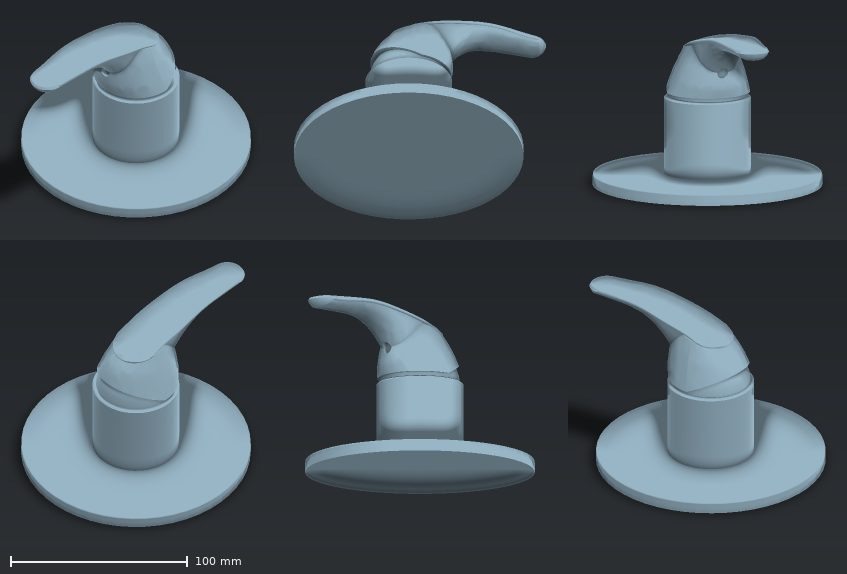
import cadquery as cq
import math

plate_radius = 65.0
plate_thickness = 6.7
plate_edge_round = 1.0
body_radius = 24.6
body_top = 51.0
body_edge_chamfer = 0.7

groove_radius = 21.8
groove_top = 51.5
ball_radius = 22.7
ball_centre_height = 49.8

cap_base_radius = 24.2
cap_base = 53.7
cap_middle = 65.9
cap_middle_half_width = 20.4
cap_middle_back = 20.8
cap_middle_front = -25.2
cap_crown_half_width = 14.5
cap_crown_back = 12.6
cap_crown_front = -19.0
cap_crown_back_height = 77.0
cap_crown_slope = 14.5
back_cut_slope = 24.4

lever_back_radius = 14.2
lever_tip = -81.4
lever_tip_radius = 9.8
lever_tip_centre = lever_tip + lever_tip_radius
outline_clearance = 1.5
outline_height = 2 * cap_base

tip_rim_height = 89.6
tip_rim_drop = 1.5
tip_rim_depth = 2.6
tip_underside = 84.6
tip_underside_flat = 4.4
tip_top_inset = 0.9
tip_top_rise = 1.6
tip_crown = 95.2

edge_round_depth = 0.9
underside_fullness = 0.75
handle_depth_ratio = 4 / 3

lever_sections = [
    (13.2, 14.5, 76.0, 74.1, 73.0, 58.6),
    (0.0, 14.4, 83.8, 81.3, 79.8, 58.6),
    (-17.1, 14.2, 89.0, 87.0, 85.1, 58.6),
    (-29.3, 13.6, 91.8, 89.8, 87.7, 74.1),
    (-41.0, 12.7, 93.1, 91.8, 89.6, 82.6),
    (-52.0, 11.9, 93.5, 92.3, 89.9, 84.6),
    (-71.6, 9.8, 92.3, 91.2, 88.6, 85.0),
    (-77.6, 9.8, 91.5, 90.8, 88.7, 85.2),
    (-82.0, 9.8, 90.4, 89.9, 88.5, 87.1),
]

screw_radius = 3.2
screw_height = 68.4
screw_floor = -22.7


def wall_plate():
    plate = cq.Workplane("XY").circle(plate_radius).extrude(plate_thickness)
    return plate.faces(">Z").edges().fillet(plate_edge_round)


def body():
    sleeve = cq.Workplane("XY").circle(body_radius).extrude(body_top)
    return sleeve.faces(">Z").edges().chamfer(body_edge_chamfer)


def ball_seat():
    ball = cq.Workplane("XY").sphere(ball_radius).translate((0, 0, ball_centre_height))
    above_groove = cq.Workplane("XY", origin=(0, 0, groove_top)).circle(body_radius).extrude(body_radius)
    neck = cq.Workplane("XY").circle(groove_radius).extrude(groove_top)
    return ball.intersect(above_groove).union(neck)


def cap():
    middle_length = cap_middle_back - cap_middle_front
    middle_centre = (cap_middle_back + cap_middle_front) / 2
    crown_length = cap_crown_back - cap_crown_front
    crown_centre = (cap_crown_back + cap_crown_front) / 2
    slope = math.radians(cap_crown_slope)
    crown_height = cap_crown_back_height + crown_length / 2 * math.tan(slope)

    base = cq.Wire.makeCircle(cap_base_radius, cq.Vector(0, 0, cap_base), cq.Vector(0, 0, 1))
    middle = (
        cq.Workplane("XY", origin=(0, middle_centre, cap_middle))
        .ellipse(cap_middle_half_width, middle_length / 2)
        .val()
    )
    crown_plane = cq.Plane((0, crown_centre, crown_height), (1, 0, 0), (0, math.sin(slope), math.cos(slope)))
    crown = (
        cq.Workplane(crown_plane)
        .ellipse(cap_crown_half_width, crown_length / 2 / math.cos(slope))
        .val()
    )
    shell = cq.Workplane(cq.Solid.makeLoft([base, middle, crown]))

    reach = 2 * cap_base_radius
    back_cut = (
        cq.Workplane("YZ")
        .moveTo(0, cap_base)
        .lineTo(reach, cap_base)
        .lineTo(reach, cap_base + reach * math.tan(math.radians(back_cut_slope)))
        .close()
        .extrude(reach, both=True)
    )
    return shell.cut(back_cut)


def lever_section(y, half_width, crown, edge_top, edge_bottom, underside):
    inner = half_width - edge_round_depth
    edge_middle = (edge_top + edge_bottom) / 2
    handle_height = edge_bottom - (edge_bottom - underside) * handle_depth_ratio
    handle_x = inner * underside_fullness
    section = (
        cq.Workplane("XZ", origin=(0, y, 0))
        .moveTo(-inner, edge_top)
        .threePointArc((0, crown), (inner, edge_top))
        .threePointArc((half_width, edge_middle), (inner, edge_bottom))
        .bezier([
            (inner, edge_bottom),
            (handle_x, handle_height),
            (-handle_x, handle_height),
            (-inner, edge_bottom),
        ])
        .threePointArc((-half_width, edge_middle), (-inner, edge_top))
        .wire()
    )
    return section.val()


def rounded_tip():
    profile = (
        cq.Workplane("XZ", origin=(0, lever_tip_centre, 0))
        .moveTo(0, tip_underside)
        .lineTo(tip_underside_flat, tip_underside)
        .threePointArc(
            (lever_tip_radius - tip_rim_drop, tip_rim_height - tip_rim_depth),
            (lever_tip_radius, tip_rim_height),
        )
        .lineTo(lever_tip_radius - tip_top_inset, tip_rim_height + tip_top_rise)
        .lineTo(0, tip_crown)
        .close()
    )
    return profile.revolve(360, (0, 0, 0), (0, 1, 0))


def lever():
    bar = cq.Workplane(cq.Solid.makeLoft([lever_section(*sizes) for sizes in lever_sections]))
    outline_half_width = lever_back_radius + outline_clearance
    outline = (
        cq.Workplane("XY")
        .moveTo(outline_half_width, lever_tip_centre)
        .lineTo(lever_back_radius, 0)
        .threePointArc((0, cap_crown_back), (-lever_back_radius, 0))
        .lineTo(-outline_half_width, lever_tip_centre)
        .close()
        .extrude(outline_height)
    )
    return bar.intersect(outline.union(rounded_tip()))


def screw_recess():
    return (
        cq.Workplane("XZ", origin=(0, screw_floor, 0))
        .center(0, screw_height)
        .circle(screw_radius)
        .extrude(2 * screw_radius)
    )


def handle():
    blank = cap().union(lever())
    return blank.cut(screw_recess())


result = wall_plate().union(body()).union(ball_seat()).union(handle())